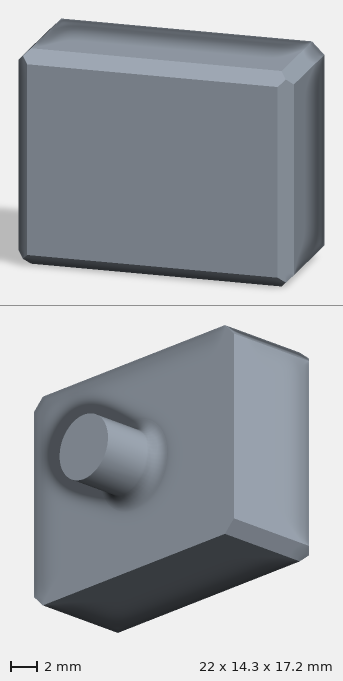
import cadquery as cq

width = 21.95
height = 17.2
total_depth = 14.25
stem_length = 5.31
block_depth = total_depth - stem_length
chamfer_size = 0.99

stem_diameter = 5.31
root_fillet = 1.0


def chamfered_prism(plane, side_u, side_v, length, edges):
    """Box centred on the origin, chamfered on the chosen edges along its length."""
    prism = cq.Workplane(plane).rect(side_u, side_v).extrude(length / 2, both=True)
    return prism.edges(edges).chamfer(chamfer_size)


def make_block():
    """Block with every edge chamfered except those around the back face.

    Intersecting three prisms lets the chamfers meet at a point at each front corner.
    """
    along_y = chamfered_prism("XZ", width, height, block_depth, "|Y")
    along_x = chamfered_prism("YZ", block_depth, height, width, "|X and <Y")
    along_z = chamfered_prism("XY", width, block_depth, height, "|Z and <Y")
    return along_y.intersect(along_x).intersect(along_z)


def add_stem(block):
    """Add the stem and blend its root into the back face."""
    back_face = block.faces(">Y").workplane(centerOption="CenterOfMass")
    body = back_face.circle(stem_diameter / 2).extrude(stem_length)
    root_edge = body.edges("%CIRCLE").edges("<Y")
    return root_edge.fillet(root_fillet)


result = add_stem(make_block())